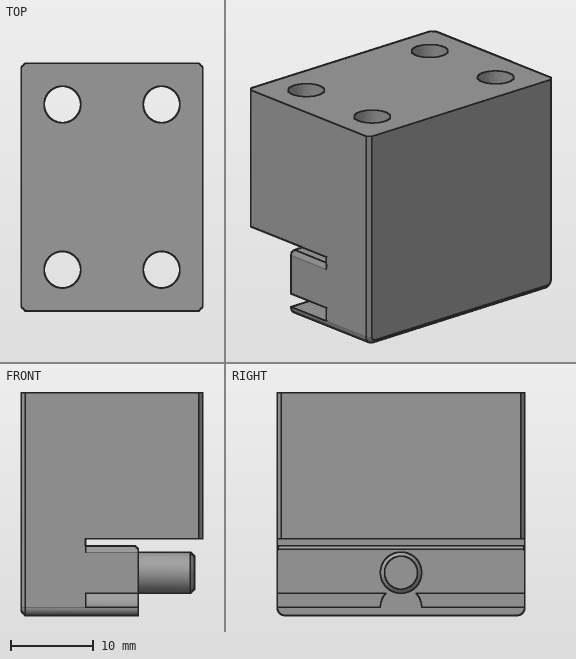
import cadquery as cq

LENGTH = 22.0
WIDTH = 30.0
HEIGHT = 27.0
EDGE_CHAMFER = 0.5
BOTTOM_EDGE_RADIUS = 1.0

FOOT_LENGTH = 14.2
OVERHANG_Z = 9.3

SLOT_START_X = 7.8
FLOOR_Z = 1.0
TONGUE_TOP_Z = 8.45
TONGUE_NOSE_CHAMFER = 0.4
TONGUE_TAPER_INSET = 0.2

PIN_DIAMETER = 5.0
PIN_Z = 5.2
PIN_END_X = 21.0
PIN_CHAMFER = 0.5

TONGUE_BOTTOM_Z = PIN_Z - PIN_DIAMETER / 2
TAPER_START_Z = PIN_Z + PIN_DIAMETER / 2

RIB_DIAMETER = 5.0

HOLE_DIAMETER = 4.4
HOLE_SPACING_X = 12.0
HOLE_SPACING_Y = 20.0


def box_between(x_start, x_end, z_start, z_end):
    """Block over the full width between two X and two Z positions."""
    return cq.Workplane("XY").box(
        x_end - x_start, WIDTH, z_end - z_start, centered=(False, True, False)
    ).translate((x_start, 0, z_start))


def rod_along_x(diameter, x_start, x_end, z):
    """Cylinder along X on the part's centre plane."""
    return (
        cq.Workplane("YZ", origin=(x_start, 0, z))
        .circle(diameter / 2)
        .extrude(x_end - x_start)
    )


def make_body():
    """Block with rounded bottom sides, chamfered edges and the step under its +X end."""
    body = box_between(0, LENGTH, 0, HEIGHT)
    body = body.edges("|Z and >X").chamfer(EDGE_CHAMFER)
    body = body.edges("|X and <Z").fillet(BOTTOM_EDGE_RADIUS)
    body = body.faces("<X").edges("not(>Z)").chamfer(EDGE_CHAMFER)
    return body.cut(box_between(FOOT_LENGTH, LENGTH, 0, OVERHANG_Z))


def make_tongue():
    """Tongue with inward-tapered upper sides and a chamfered upper nose."""
    side_y = WIDTH / 2
    top_y = side_y - TONGUE_TAPER_INSET
    tongue = (
        cq.Workplane("YZ", origin=(SLOT_START_X, 0, 0))
        .moveTo(-side_y, TONGUE_BOTTOM_Z)
        .lineTo(side_y, TONGUE_BOTTOM_Z)
        .lineTo(side_y, TAPER_START_Z)
        .lineTo(top_y, TONGUE_TOP_Z)
        .lineTo(-top_y, TONGUE_TOP_Z)
        .lineTo(-side_y, TAPER_START_Z)
        .close()
        .extrude(FOOT_LENGTH - SLOT_START_X)
    )
    return tongue.edges(">X and >Z").chamfer(TONGUE_NOSE_CHAMFER)


def make_pin():
    """Pin with a chamfered tip, rooted in the foot."""
    pin = rod_along_x(PIN_DIAMETER, SLOT_START_X, PIN_END_X, PIN_Z)
    return pin.faces(">X").edges().chamfer(PIN_CHAMFER)


def make_rib():
    """Upper half of a rod lying on the floor, joining it to the tongue."""
    rod = rod_along_x(RIB_DIAMETER, SLOT_START_X, FOOT_LENGTH, FLOOR_Z)
    return rod.intersect(box_between(SLOT_START_X, FOOT_LENGTH, FLOOR_Z, TONGUE_TOP_Z))


def make_holes():
    """Four vertical through holes, centred on the block."""
    return (
        cq.Workplane("XY", origin=(LENGTH / 2, 0, 0))
        .rarray(HOLE_SPACING_X, HOLE_SPACING_Y, 2, 2)
        .circle(HOLE_DIAMETER / 2)
        .extrude(HEIGHT)
    )


body = make_body().cut(box_between(SLOT_START_X, FOOT_LENGTH, FLOOR_Z, OVERHANG_Z))
result = body.union(make_tongue()).union(make_rib()).union(make_pin()).cut(make_holes())